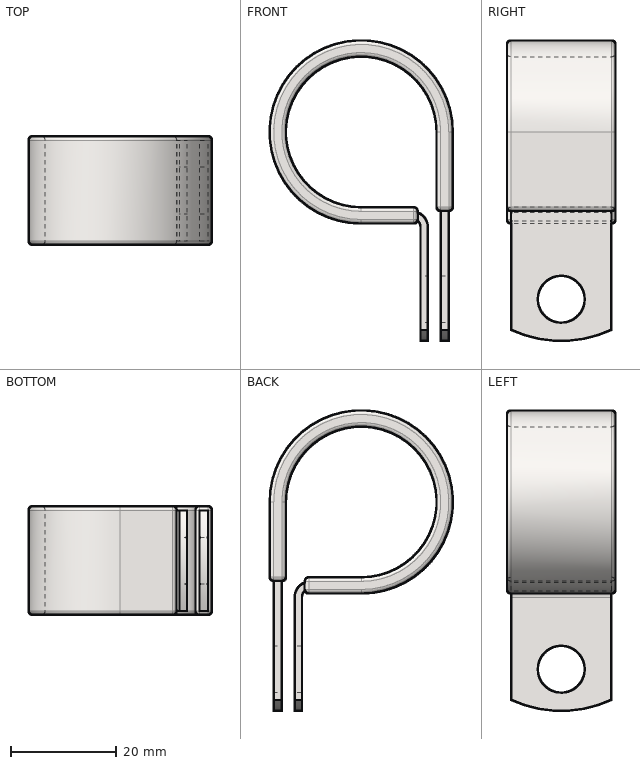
import cadquery as cq
import math

TOTAL_HEIGHT = 57.05
OUTER_RADIUS = 17.4
CUSHION_WIDTH = 20.65
COVER = 0.8
BAND_THICKNESS = 1.55
TAB_THICKNESS = 1.4
CUSHION_RIGHT_END = 15.0
CUSHION_LEFT_END = 10.75
TAB_OUTER_X = 12.65
BEND_RADIUS = 3.0
HOLE_DIAMETER = 8.85
HOLE_ABOVE_BOTTOM = 7.95
TIP_DROP = 2.1

strap_width = CUSHION_WIDTH - 2 * COVER
inner_radius = OUTER_RADIUS - BAND_THICKNESS - 2 * COVER
band_outer_radius = OUTER_RADIUS - COVER
band_inner_radius = inner_radius + COVER
mid_radius = (OUTER_RADIUS + inner_radius) / 2
bottom_z = OUTER_RADIUS - TOTAL_HEIGHT
tab_inner_x = TAB_OUTER_X - TAB_THICKNESS
bend_center_x = TAB_OUTER_X - BEND_RADIUS
bend_center_z = -band_inner_radius - BEND_RADIUS


def loop_strip(outer, inner, width, leg_end_z, foot_end_x):
    """Three-quarter loop with a straight leg down and a straight foot to the right."""
    diagonal = math.sqrt(0.5)
    profile = (
        cq.Workplane("XZ")
        .moveTo(outer, leg_end_z)
        .lineTo(outer, 0)
        .threePointArc((-outer * diagonal, outer * diagonal), (0, -outer))
        .lineTo(foot_end_x, -outer)
        .lineTo(foot_end_x, -inner)
        .lineTo(0, -inner)
        .threePointArc((-inner * diagonal, inner * diagonal), (inner, 0))
        .lineTo(inner, leg_end_z)
        .close()
    )
    return profile.extrude(width / 2, both=True)


def make_cushion():
    """Cushion with every edge of its side faces and end faces rounded."""
    body = loop_strip(OUTER_RADIUS, inner_radius, CUSHION_WIDTH, -CUSHION_RIGHT_END, CUSHION_LEFT_END)
    leg_end = cq.selectors.NearestToPointSelector((mid_radius, 0, -CUSHION_RIGHT_END))
    foot_end = cq.selectors.NearestToPointSelector((CUSHION_LEFT_END, 0, -mid_radius))
    rounded_edges = body.faces("<Y or >Y").edges()
    rounded_edges = rounded_edges.add(body.faces(leg_end).edges("|Y"))
    rounded_edges = rounded_edges.add(body.faces(foot_end).edges("|Y"))
    return rounded_edges.fillet(COVER)


def make_bent_tab():
    """Rounded right-angle bend from the foot of the loop into the left hanging tab."""
    bend_inner_radius = BEND_RADIUS - TAB_THICKNESS
    return (
        cq.Workplane("XZ")
        .moveTo(bend_center_x, bend_center_z + BEND_RADIUS)
        .radiusArc((TAB_OUTER_X, bend_center_z), BEND_RADIUS)
        .lineTo(TAB_OUTER_X, bottom_z)
        .lineTo(tab_inner_x, bottom_z)
        .lineTo(tab_inner_x, bend_center_z)
        .radiusArc((bend_center_x, bend_center_z + bend_inner_radius), -bend_inner_radius)
        .close()
        .extrude(strap_width / 2, both=True)
    )


def tab_trim():
    """Block with the tab outline and bolt hole, used to shape both tabs at once."""
    half_width = strap_width / 2
    outline = (
        cq.Workplane("YZ")
        .moveTo(-half_width, OUTER_RADIUS)
        .lineTo(-half_width, bottom_z + TIP_DROP)
        .threePointArc((0, bottom_z), (half_width, bottom_z + TIP_DROP))
        .lineTo(half_width, OUTER_RADIUS)
        .close()
        .extrude(OUTER_RADIUS, both=True)
    )
    hole = (
        cq.Workplane("YZ")
        .center(0, bottom_z + HOLE_ABOVE_BOTTOM)
        .circle(HOLE_DIAMETER / 2)
        .extrude(OUTER_RADIUS, both=True)
    )
    return outline.cut(hole)


band = loop_strip(band_outer_radius, band_inner_radius, strap_width, bottom_z, bend_center_x)
strap = band.union(make_bent_tab()).intersect(tab_trim())
result = make_cushion().union(strap)